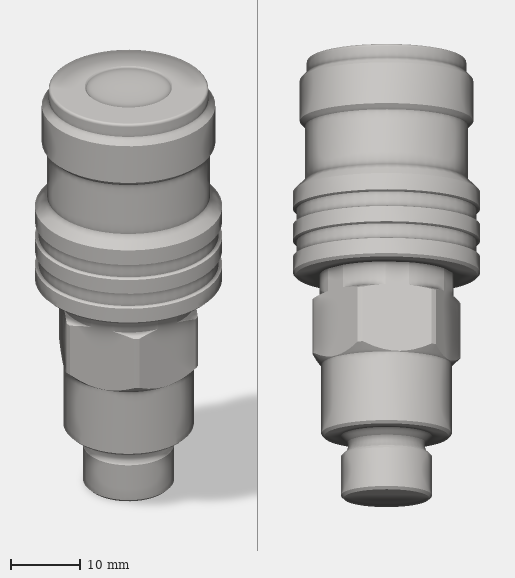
import cadquery as cq
import math

TOTAL_LENGTH = 64.5

SPIGOT_DIAMETER = 13.16
SPIGOT_SHOULDER_Z = 6.1
SPIGOT_TOP_CHAMFER = 0.4
SPIGOT_BOTTOM_CHAMFER = 0.4
NECK_DIAMETER = 11.1
NECK_THROAT_Z = 7.7
NECK_TOP_Z = 8.15
NECK_TOP_DIAMETER = 11.3

BODY_DIAMETER = 18.8
BODY_BOTTOM_Z = 9.1
BODY_CHAMFER = 0.4

HEX_ACROSS_FLATS = 19.0
HEX_SIDES = 6
HEX_ROTATION = 180.0 / HEX_SIDES
HEX_CORNER_DIAMETER = 21.5
HEX_SHANK_DIAMETER = 19.3
HEX_BOTTOM_Z = 19.6
HEX_TOP_Z = 29.5
HEX_TOP_CHAMFER_ANGLE = 25.0

RING_DIAMETER = 27.0
GROOVE_DIAMETER = 26.0
SLEEVE_BOTTOM_Z = 32.8
SLEEVE_BOTTOM_CHAMFER = 0.4
RING_SHOULDER_Z = 45.0
GROOVE_MOUTH_WIDTH = 2.45
GROOVE_WALL_ANGLE = 22.0
GROOVE_PITCH = 4.7
GROOVE_COUNT = 2
FIRST_GROOVE_Z = 35.45
WAIST_DIAMETER = 23.5

HEAD_DIAMETER = 25.0
HEAD_BOTTOM_Z = 55.5
HEAD_TOP_Z = 61.5
LIP_DIAMETER = 23.0
LIP_FILLET = 0.4

DISH_DIAMETER = 12.6
DISH_DEPTH = 0.25
DISH_WALL_TAPER = 45.0


def spigot():
    """Spigot, curved neck and the cone that joins it to the body."""
    r = SPIGOT_DIAMETER / 2
    shoulder_r = r - SPIGOT_TOP_CHAMFER
    cone_r = NECK_TOP_DIAMETER / 2 + BODY_BOTTOM_Z - NECK_TOP_Z
    return (
        cq.Workplane("XZ")
        .moveTo(0, 0)
        .lineTo(r - SPIGOT_BOTTOM_CHAMFER, 0)
        .lineTo(r, SPIGOT_BOTTOM_CHAMFER)
        .lineTo(r, SPIGOT_SHOULDER_Z)
        .lineTo(shoulder_r, SPIGOT_SHOULDER_Z + SPIGOT_TOP_CHAMFER)
        .threePointArc((NECK_DIAMETER / 2, NECK_THROAT_Z), (NECK_TOP_DIAMETER / 2, NECK_TOP_Z))
        .lineTo(cone_r, BODY_BOTTOM_Z)
        .lineTo(0, BODY_BOTTOM_Z)
        .close()
        .revolve(360, (0, 0, 0), (0, 1, 0))
    )


def body():
    """Cylinder between the spigot and the hexagon."""
    return (
        cq.Workplane("XY", origin=(0, 0, BODY_BOTTOM_Z))
        .circle(BODY_DIAMETER / 2)
        .extrude(HEX_BOTTOM_Z - BODY_BOTTOM_Z)
        .faces("<Z")
        .chamfer(BODY_CHAMFER)
    )


def hexagon():
    """Hexagon with flats facing +Y and -Y, cut to a turned profile."""
    corner_r = HEX_CORNER_DIAMETER / 2
    shank_r = HEX_SHANK_DIAMETER / 2
    base_r = BODY_DIAMETER / 2
    top_drop = (corner_r - shank_r) * math.tan(math.radians(HEX_TOP_CHAMFER_ANGLE))
    prism = (
        cq.Workplane("XY", origin=(0, 0, HEX_BOTTOM_Z))
        .polygon(HEX_SIDES, HEX_ACROSS_FLATS, circumscribed=True)
        .extrude(SLEEVE_BOTTOM_Z - HEX_BOTTOM_Z)
        .rotate((0, 0, 0), (0, 0, 1), HEX_ROTATION)
    )
    envelope = (
        cq.Workplane("XZ")
        .moveTo(0, HEX_BOTTOM_Z)
        .lineTo(base_r, HEX_BOTTOM_Z)
        .lineTo(corner_r, HEX_BOTTOM_Z + corner_r - base_r)
        .lineTo(corner_r, HEX_TOP_Z - top_drop)
        .lineTo(shank_r, HEX_TOP_Z)
        .lineTo(shank_r, SLEEVE_BOTTOM_Z)
        .lineTo(0, SLEEVE_BOTTOM_Z)
        .close()
        .revolve(360, (0, 0, 0), (0, 1, 0))
    )
    return prism.intersect(envelope)


def sleeve():
    """Sleeve and head, from the lowest grip ring up to the top lip."""
    ring_r = RING_DIAMETER / 2
    groove_r = GROOVE_DIAMETER / 2
    waist_r = WAIST_DIAMETER / 2
    head_r = HEAD_DIAMETER / 2
    lip_r = LIP_DIAMETER / 2
    wall_rise = (ring_r - groove_r) * math.tan(math.radians(GROOVE_WALL_ANGLE))

    profile = (
        cq.Workplane("XZ")
        .moveTo(0, SLEEVE_BOTTOM_Z)
        .lineTo(ring_r - SLEEVE_BOTTOM_CHAMFER, SLEEVE_BOTTOM_Z)
        .lineTo(ring_r, SLEEVE_BOTTOM_Z + SLEEVE_BOTTOM_CHAMFER)
    )
    for index in range(GROOVE_COUNT):
        groove_bottom = FIRST_GROOVE_Z + index * GROOVE_PITCH
        groove_top = groove_bottom + GROOVE_MOUTH_WIDTH
        profile = (
            profile.lineTo(ring_r, groove_bottom)
            .lineTo(groove_r, groove_bottom + wall_rise)
            .lineTo(groove_r, groove_top - wall_rise)
            .lineTo(ring_r, groove_top)
        )
    turned = (
        profile.lineTo(ring_r, RING_SHOULDER_Z)
        .lineTo(waist_r, RING_SHOULDER_Z + ring_r - waist_r)
        .lineTo(waist_r, HEAD_BOTTOM_Z - (head_r - waist_r))
        .lineTo(head_r, HEAD_BOTTOM_Z)
        .lineTo(head_r, HEAD_TOP_Z)
        .lineTo(lip_r, HEAD_TOP_Z + head_r - lip_r)
        .lineTo(lip_r, TOTAL_LENGTH)
        .lineTo(0, TOTAL_LENGTH)
        .close()
        .revolve(360, (0, 0, 0), (0, 1, 0))
    )
    return turned.faces(">Z").edges().fillet(LIP_FILLET)


def dish():
    """Cutter for the shallow dish with its sloping wall."""
    return (
        cq.Workplane("XY", origin=(0, 0, TOTAL_LENGTH))
        .circle(DISH_DIAMETER / 2)
        .extrude(-DISH_DEPTH, taper=DISH_WALL_TAPER)
    )


result = spigot().union(body()).union(hexagon()).union(sleeve()).cut(dish())